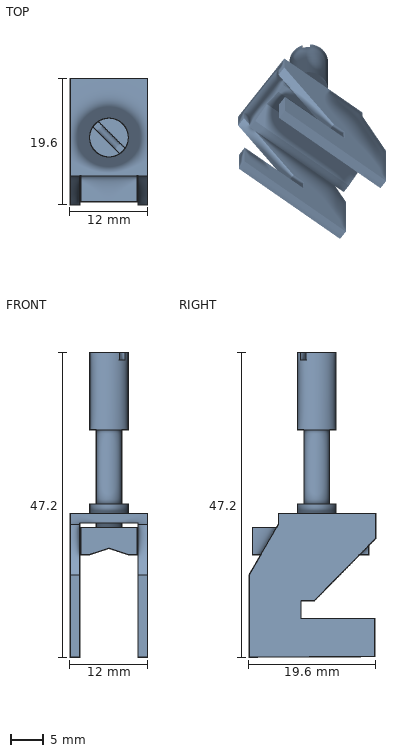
import cadquery as cq

frame_width = 12.0
frame_depth = 19.65
frame_height = 22.3
plate_thickness = 1.5
inner_width = frame_width - 2 * plate_thickness

top_front_y = 4.55
front_slope_top_z = 20.6
front_slope_bottom_z = 12.75
rear_edge_bottom_z = 18.4
jaw_upper_y = 10.1
jaw_upper_z = 8.75
jaw_throat_y = 8.05
foot_top_z = 6.05
foot_rear_y = 19.5
foot_rear_rise = 0.1

block_width = 8.7
block_front_y = 0.5
block_rear_y = 18.55
block_bottom_z = 15.85
block_height = 4.25
notch_half_width = 3.0
notch_depth = 1.0

total_height = 47.2
screw_y = 10.5
head_diameter = 6.0
head_length = 12.0
shank_diameter = 4.0
collar_height = 1.45
slot_width = 1.2
slot_depth = 1.2
slot_angle = -45


def make_frame():
    """Side profile across the full width, hollowed below the top plate."""
    profile = [
        (0, 0),
        (0, front_slope_bottom_z),
        (top_front_y, front_slope_top_z),
        (top_front_y, frame_height),
        (frame_depth, frame_height),
        (frame_depth, rear_edge_bottom_z),
        (jaw_upper_y, jaw_upper_z),
        (jaw_throat_y, jaw_upper_z),
        (jaw_throat_y, foot_top_z),
        (foot_rear_y, foot_top_z),
        (foot_rear_y, foot_rear_rise),
    ]
    body = cq.Workplane("YZ").polyline(profile).close().extrude(frame_width / 2, both=True)
    cavity = cq.Workplane("XY").box(
        inner_width, frame_depth, frame_height - plate_thickness, centered=(True, False, False)
    )
    return body.cut(cavity)


def make_block():
    """Rectangular block with a shallow V notch along its underside."""
    half_width = block_width / 2
    block_top_z = block_bottom_z + block_height
    section = [
        (-half_width, block_top_z),
        (half_width, block_top_z),
        (half_width, block_bottom_z),
        (notch_half_width, block_bottom_z),
        (0, block_bottom_z + notch_depth),
        (-notch_half_width, block_bottom_z),
        (-half_width, block_bottom_z),
    ]
    block = cq.Workplane("XZ").polyline(section).close().extrude(block_front_y - block_rear_y)
    return block.translate((0, block_front_y, 0))


def make_cylinder(diameter, bottom_z, top_z):
    """Upright cylinder on the screw axis."""
    base = cq.Workplane("XY", origin=(0, screw_y, bottom_z))
    return base.circle(diameter / 2).extrude(top_z - bottom_z)


def make_screw():
    """Head, shank and collar; the shank ends at the top of the block."""
    head = make_cylinder(head_diameter, total_height - head_length, total_height)
    shank = make_cylinder(shank_diameter, block_bottom_z + block_height, total_height - head_length)
    collar = make_cylinder(head_diameter, frame_height, frame_height + collar_height)
    slot = (
        cq.Workplane("XY")
        .box(2 * head_diameter, slot_width, slot_depth, centered=(True, True, False))
        .rotate((0, 0, 0), (0, 0, 1), slot_angle)
        .translate((0, screw_y, total_height - slot_depth))
    )
    return head.cut(slot).union(shank).union(collar)


result = make_frame().union(make_block()).union(make_screw())